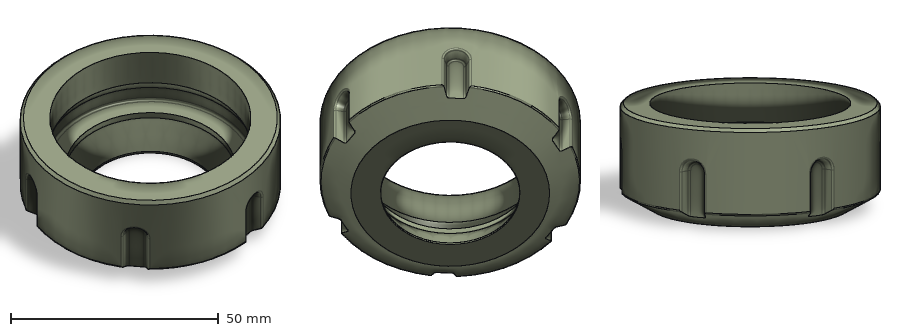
import cadquery as cq
import math

height = 25.5
outer_radius = 62.7 / 2
top_chamfer = 0.8
bottom_face_radius = 23.9
bottom_cone_angle = 30.0
bottom_cone_height = (outer_radius - bottom_face_radius) * math.tan(math.radians(bottom_cone_angle))

entry_radius = 48.38 / 2
entry_depth = 9.6
recess_radius = 50.5 / 2
recess_taper_height = 2.4
seat_depth = 15.9
seat_fillet = 0.7
collar_radius = 41.0 / 2
collar_depth = 1.65
nose_radius = 33.5 / 2
nose_length = 0.55

slot_count = 6
slot_first_angle = 30.0
slot_floor_distance = 28.6
slot_floor_half_width = 2.2
slot_wall_angle = 20.0
slot_end_height = 14.0
slot_floor_fillet = 0.6
edge_fillet = 0.5
cut_margin = 1.0


def make_blank():
    """Plain cylinder with its upper edge chamfered."""
    blank = cq.Workplane("XY").circle(outer_radius).extrude(height)
    return blank.faces(">Z").edges().chamfer(top_chamfer)


def make_bore():
    """Revolved cutter: nose, nose cone, collar, seat, undercut recess and entry bore."""
    seat_z = height - seat_depth
    entry_z = height - entry_depth
    arc_offset = seat_fillet * (1 - math.sqrt(0.5))
    profile = (
        cq.Workplane("XZ")
        .moveTo(0, 0)
        .lineTo(nose_radius, 0)
        .lineTo(nose_radius, nose_length)
        .lineTo(collar_radius, seat_z - collar_depth)
        .lineTo(collar_radius, seat_z)
        .lineTo(recess_radius - seat_fillet, seat_z)
        .threePointArc(
            (recess_radius - arc_offset, seat_z + arc_offset),
            (recess_radius, seat_z + seat_fillet),
        )
        .lineTo(recess_radius, entry_z - recess_taper_height)
        .lineTo(entry_radius, entry_z)
        .lineTo(entry_radius, height)
        .lineTo(0, height)
        .close()
    )
    return profile.revolve(360, (0, 0), (0, 1))


def make_slot_cutter():
    """Flared U-shaped cutter along +X, round at the top and open at the bottom."""
    depth = outer_radius + cut_margin - slot_floor_distance
    mouth_half_width = slot_floor_half_width + depth * math.tan(math.radians(slot_wall_angle))
    mouth_distance = slot_floor_distance + depth
    channel = (
        cq.Workplane("XY")
        .workplane(offset=-cut_margin)
        .polyline([
            (slot_floor_distance, -slot_floor_half_width),
            (mouth_distance, -mouth_half_width),
            (mouth_distance, mouth_half_width),
            (slot_floor_distance, slot_floor_half_width),
        ])
        .close()
        .extrude(slot_end_height + cut_margin)
    )
    rounded_end = cq.Workplane(
        cq.Solid.makeCone(
            slot_floor_half_width,
            mouth_half_width,
            depth,
            pnt=cq.Vector(slot_floor_distance, 0, slot_end_height),
            dir=cq.Vector(1, 0, 0),
        )
    )
    cutter = channel.union(rounded_end).clean()
    floor_edges = cutter.faces("<X").edges("not <Z")
    return floor_edges.fillet(slot_floor_fillet)


def cut_slots(body):
    """Cut the equally spaced wrench slots."""
    cutter = make_slot_cutter()
    for index in range(slot_count):
        angle = slot_first_angle + index * 360 / slot_count
        body = body.cut(cutter.rotate((0, 0, 0), (0, 0, 1), angle))
    return body


def round_slot_mouths(body):
    """Round the edges where the slots break through the outer cylinder."""
    slot_zone = cq.selectors.BoxSelector(
        (-outer_radius, -outer_radius, edge_fillet),
        (outer_radius, outer_radius, height - 2 * top_chamfer),
    )
    mouth_edges = body.faces("%CYLINDER").edges(slot_zone)
    return mouth_edges.fillet(edge_fillet)


def make_cone_cutter():
    """Ring around the part that leaves the lower cone and its rounded rim."""
    cone_angle = math.radians(bottom_cone_angle)
    middle_angle = (math.pi / 2 - cone_angle) / 2
    tangent_length = edge_fillet * math.tan(middle_angle)
    rim_center_x = outer_radius - edge_fillet
    rim_center_z = bottom_cone_height + tangent_length
    cutter_radius = outer_radius + cut_margin
    profile = (
        cq.Workplane("XZ")
        .moveTo(bottom_face_radius, 0)
        .lineTo(
            outer_radius - tangent_length * math.cos(cone_angle),
            bottom_cone_height - tangent_length * math.sin(cone_angle),
        )
        .threePointArc(
            (
                rim_center_x + edge_fillet * math.cos(middle_angle),
                rim_center_z - edge_fillet * math.sin(middle_angle),
            ),
            (outer_radius, rim_center_z),
        )
        .lineTo(cutter_radius, rim_center_z)
        .lineTo(cutter_radius, -cut_margin)
        .lineTo(bottom_face_radius, -cut_margin)
        .close()
    )
    return profile.revolve(360, (0, 0), (0, 1))


body = make_blank()
body = cut_slots(body)
body = round_slot_mouths(body)
body = body.cut(make_cone_cutter())
result = body.cut(make_bore())